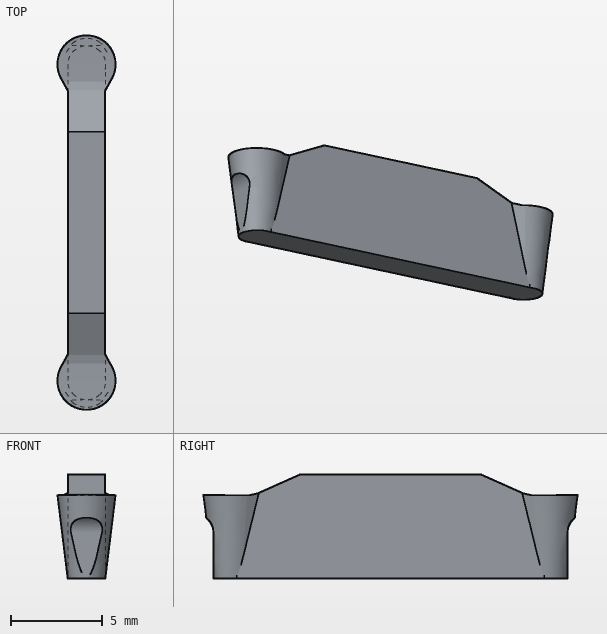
import cadquery as cq
import math


length = 20.45
height = 5.68
half_length = length / 2

head_radius = 1.6
edge_height = 4.58
seat_height = 4.55
clearance_angle = math.radians(7)
neck_angle = math.radians(30)
head_center = half_length - head_radius
blank_height = 4.8

plate_width = 2.05
plate_end = 8.38

breaker_start = 7.7
breaker_end = 7.62
breaker_turn = math.radians(20)
breaker_end_height = seat_height + (breaker_start - breaker_end) * math.tan(breaker_turn / 2)
neck_end = 7.24
neck_end_height = 4.66
ramp_top = 4.95

relief_face = 9.67
relief_arc_start = 2.51
relief_radius = 1.02

across = 4 * head_radius


def teardrop(z):
    """Head outline at height z: a round front with tangent flanks meeting behind it."""
    radius = head_radius - (edge_height - z) * math.tan(clearance_angle)
    tangent_x = radius * math.cos(neck_angle)
    tangent_y = head_center - radius * math.sin(neck_angle)
    apex_y = head_center - radius / math.sin(neck_angle)
    return (
        cq.Workplane("XY", origin=(0, 0, z))
        .moveTo(0, apex_y)
        .lineTo(tangent_x, tangent_y)
        .threePointArc((0, head_center + radius), (-tangent_x, tangent_y))
        .close()
        .val()
    )


def make_head():
    """Tapered head at the +Y end, with a plain front and top."""
    outlines = [cq.Wire.assembleEdges(teardrop(z).Edges()) for z in (0, blank_height)]
    return cq.Workplane(obj=cq.Solid.makeLoft(outlines, True))


def make_relief():
    """Cutter for the upright front face and the concave arc above it."""
    outer = relief_face + relief_radius
    arc_side = relief_radius * math.sqrt(0.5)
    return (
        cq.Workplane("YZ")
        .moveTo(relief_face, 0)
        .lineTo(relief_face, relief_arc_start)
        .threePointArc(
            (outer - arc_side, relief_arc_start + arc_side),
            (outer, relief_arc_start + relief_radius),
        )
        .lineTo(outer, 0)
        .close()
        .extrude(across / 2, both=True)
    )


def make_envelope():
    """Half of the side profile: seat, chip breaker, neck, ramp and top."""
    return (
        cq.Workplane("YZ")
        .moveTo(half_length, 0)
        .lineTo(half_length, edge_height)
        .lineTo(head_center, seat_height)
        .lineTo(breaker_start, seat_height)
        .tangentArcPoint((breaker_end, breaker_end_height), relative=False)
        .lineTo(neck_end, neck_end_height)
        .lineTo(ramp_top, height)
        .lineTo(0, height)
        .lineTo(0, 0)
        .close()
        .extrude(across / 2, both=True)
    )


half_plate = cq.Workplane("XY").box(
    plate_width, plate_end, height, centered=(True, False, False)
)
half_part = half_plate.union(make_head()).cut(make_relief()).intersect(make_envelope())
result = half_part.union(half_part.mirror("XZ")).clean()